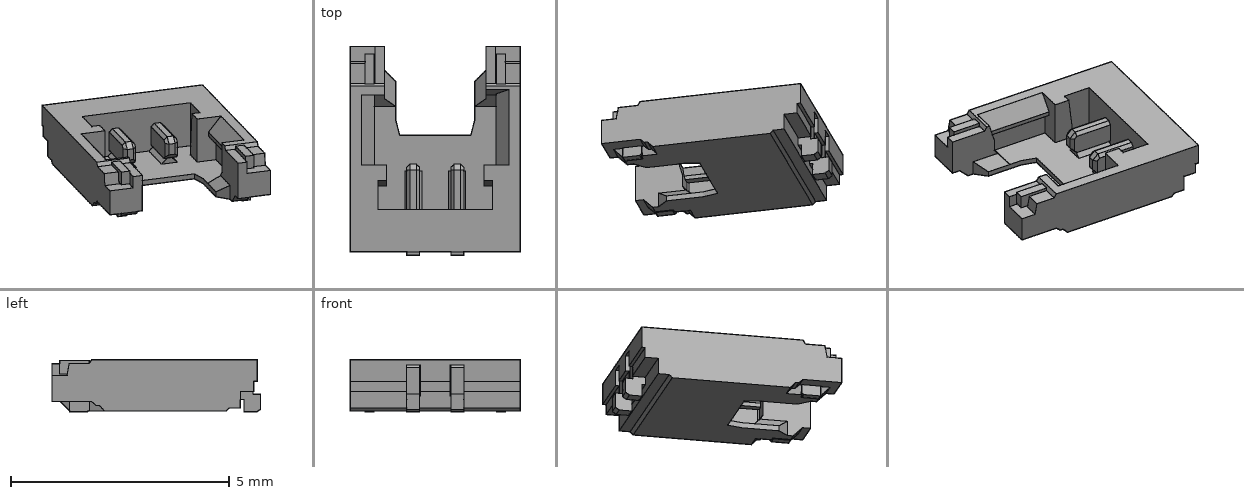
import cadquery as cq


WIDTH = 3.9
LENGTH = 4.79
BACK_Y = 4.715
TOP_Z = 1.2
BASE_Z = 0.02
HALF_WIDTH = WIDTH / 2

UPPER_STEP_Y = 0.08
UPPER_STEP_Z = 0.705
LOWER_STEP_Y = 0.39
LOWER_STEP_Z = 0.465

BASE_FRONT_Y = 0.72
BASE_BACK_Y = 3.5
TOE_RISE = 0.07
TOE_Z = BASE_Z + TOE_RISE
HEEL_FRONT_Y = 3.62
HEEL_BACK_Y = 3.7
HEEL_TOP_Y = 3.8
HEEL_Z = 0.15

SHOULDER_FRONT_Y = 3.8
SHOULDER_BACK_Y = 3.855
ARM_TOP_Z = 1.11
ARM_BOTTOM_Z = 0.24
ARM_INNER_X = 1.16
LEDGE_FRONT_Y = 4.315
LEDGE_BACK_Y = 4.365
LEDGE_Z = 0.835
INNER_STRIP_X = 1.385

FOOT_BACK_Y = 4.3
FOOT_CHAMFER = ARM_BOTTOM_Z - BASE_Z
FOOT_TOP_X = 1.58
FOOT_BASE_X = 1.535

CLIP_INNER_X = 1.405
CLIP_OUTER_X = 1.61
CLIP_FRONT_Y = 3.85
CLIP_BACK_Y = 4.53
CLIP_BOTTOM_Z = 0.87
CLIP_TOP_Z = 1.185
LEG_CHAMFER = 0.045

FLOOR_Z = 0.145
CAVITY_FRONT_Y = 0.975
CAVITY_BACK_Y = 3.592
BAY_X = 1.312
BAY_BACK_Y = 1.635
BAY_FLOOR_BACK_Y = 1.515
NECK_X = 1.12
NECK_BACK_Y = 1.997
UNDERCUT_X = 1.575
UNDERCUT_CORNER = 0.04
LIP_X = 1.395
LIP_BOTTOM_Z = 0.745
LIP_TOP_Z = 0.845
MOUTH_X = 1.695
MOUTH_BACK_Y = 3.725
RAMP_FRONT_Y = 3.335
RAMP_TOP_Z = 0.47

NOTCH_FRONT_Y = 2.68
NOTCH_FRONT_X = 0.815
NOTCH_SIDE_Y = 3.03
NOTCH_X = 0.905
CHIN_BACK_Y = 3.91
CHIN_RISE = 0.22
CHIN_WIDTH = ARM_INNER_X - NOTCH_X

PIN_X = 0.51
PIN_WIDTH = 0.3
PIN_FRONT_Y = 0.095
SOLDER_FRONT_Y = BACK_Y - LENGTH
SOLDER_BACK_Y = 0.31
SOLDER_TOP_Z = 0.405
SOLDER_CHAMFER_Y = 0.09
SOLDER_CHAMFER_Z = 0.06
BLADE_BOTTOM_Z = 0.285
BLADE_TOP_Z = 0.81
BLADE_TOP_WIDTH = 0.15
BLADE_SLOPE = 0.95
BLADE_SHOULDER_Y = 1.875
BLADE_TIP_Y = 2.01
RIDGE_X = 0.5
RIDGE_WIDTH = 0.39
RIDGE_BACK_Y = 1.855
SLOT_INNER_X = 0.335
SLOT_BACK_Y = 0.425
SLOT_BOTTOM_Z = 0.37
SLOT_TOP_Z = 1.075
PIN_TOP_CHAMFER = 0.057


def box(x0, x1, y0, y1, z0, z1):
    return cq.Workplane("XY").box(x1 - x0, y1 - y0, z1 - z0, centered=False).translate((x0, y0, z0))


def prism_x(yz_points, x0, x1):
    """Side outline (Y, Z) swept from x0 to x1."""
    return cq.Workplane("YZ").workplane(offset=x0).polyline(yz_points).close().extrude(x1 - x0)


def prism_y(xz_points, y0, y1):
    """Front outline (X, Z) swept from y0 to y1."""
    return cq.Workplane("XZ").workplane(offset=-y0).polyline(xz_points).close().extrude(y0 - y1)


def prism_z(xy_points, z0, z1):
    """Plan outline (X, Y) swept from z0 to z1."""
    return cq.Workplane("XY").workplane(offset=z0).polyline(xy_points).close().extrude(z1 - z0)


def symmetric(points):
    """Outline closed by its own mirror image across X = 0."""
    return points + [(-x, v) for x, v in reversed(points)]


def both_sides(solid):
    return solid.union(solid.mirror("YZ"))


def housing_block():
    outline = [
        (0, TOP_Z),
        (SHOULDER_FRONT_Y, TOP_Z),
        (SHOULDER_BACK_Y, ARM_TOP_Z),
        (BACK_Y, ARM_TOP_Z),
        (BACK_Y, ARM_BOTTOM_Z),
        (HEEL_TOP_Y, ARM_BOTTOM_Z),
        (HEEL_BACK_Y, HEEL_Z),
        (HEEL_FRONT_Y, HEEL_Z),
        (BASE_BACK_Y, BASE_Z),
        (BASE_FRONT_Y, BASE_Z),
        (BASE_FRONT_Y - TOE_RISE, TOE_Z),
        (LOWER_STEP_Y, TOE_Z),
        (LOWER_STEP_Y, LOWER_STEP_Z),
        (UPPER_STEP_Y, LOWER_STEP_Z),
        (UPPER_STEP_Y, UPPER_STEP_Z),
        (0, UPPER_STEP_Z),
    ]
    return prism_x(outline, -HALF_WIDTH, HALF_WIDTH)


def feet():
    """Block under the arms with slightly drafted sides and a chamfered rear."""
    side = prism_x(
        [
            (BASE_BACK_Y, BASE_Z),
            (FOOT_BACK_Y, BASE_Z),
            (FOOT_BACK_Y + FOOT_CHAMFER, ARM_BOTTOM_Z),
            (BASE_BACK_Y, ARM_BOTTOM_Z),
        ],
        -HALF_WIDTH,
        HALF_WIDTH,
    )
    front = prism_y(symmetric([(FOOT_BASE_X, BASE_Z), (FOOT_TOP_X, ARM_BOTTOM_Z)]), 0, BACK_Y)
    return side.intersect(front)


def arm_ledge():
    """Lowered outer rear corner of one arm and the narrow gap beside its clip."""
    ledge = prism_x(
        [
            (LEDGE_BACK_Y, LEDGE_Z),
            (BACK_Y, LEDGE_Z),
            (BACK_Y, TOP_Z),
            (LEDGE_FRONT_Y, TOP_Z),
            (LEDGE_FRONT_Y, ARM_TOP_Z),
        ],
        INNER_STRIP_X,
        HALF_WIDTH,
    )
    gap = box(INNER_STRIP_X, CLIP_INNER_X, SHOULDER_BACK_Y, BACK_Y, LEDGE_Z, TOP_Z)
    return ledge.union(gap)


def front_bay():
    """Bay whose rear ledges slope forward towards the floor, and the neck behind it."""
    bay = prism_x(
        [
            (CAVITY_FRONT_Y, FLOOR_Z),
            (BAY_FLOOR_BACK_Y, FLOOR_Z),
            (BAY_BACK_Y, TOP_Z),
            (CAVITY_FRONT_Y, TOP_Z),
        ],
        -BAY_X,
        BAY_X,
    )
    return bay.union(box(-NECK_X, NECK_X, CAVITY_FRONT_Y, NECK_BACK_Y, FLOOR_Z, TOP_Z))


def rear_bay():
    """Undercut chamber with a rear ramp, opening upward between two sloped lips."""
    ramp_side = prism_x(
        [
            (NECK_BACK_Y, FLOOR_Z),
            (RAMP_FRONT_Y, FLOOR_Z),
            (CAVITY_BACK_Y, RAMP_TOP_Z),
            (CAVITY_BACK_Y, LIP_BOTTOM_Z),
            (NECK_BACK_Y, LIP_BOTTOM_Z),
        ],
        -UNDERCUT_X,
        UNDERCUT_X,
    )
    plan = symmetric(
        [
            (UNDERCUT_X, NECK_BACK_Y),
            (UNDERCUT_X, CAVITY_BACK_Y - UNDERCUT_CORNER),
            (UNDERCUT_X - UNDERCUT_CORNER, CAVITY_BACK_Y),
        ]
    )
    chamber = ramp_side.intersect(prism_z(plan, FLOOR_Z, LIP_BOTTOM_Z))

    mouth_outline = symmetric([(LIP_X, LIP_BOTTOM_Z), (LIP_X, LIP_TOP_Z), (MOUTH_X, TOP_Z)])
    mouth = prism_y(mouth_outline, NECK_BACK_Y, CAVITY_BACK_Y)
    back_slope = prism_x(
        [(CAVITY_BACK_Y, LIP_BOTTOM_Z), (MOUTH_BACK_Y, TOP_Z), (CAVITY_BACK_Y, TOP_Z)], 0, MOUTH_X
    ).intersect(prism_y(mouth_outline, NECK_BACK_Y, MOUTH_BACK_Y))
    return chamber.union(mouth).union(back_slope)


def rear_opening():
    """Notch through the floor, widening to the space between the arms above sloped chins."""
    notch = prism_z(
        symmetric(
            [
                (NOTCH_FRONT_X, NOTCH_FRONT_Y),
                (NOTCH_X, NOTCH_SIDE_Y),
                (NOTCH_X, CHIN_BACK_Y),
                (ARM_INNER_X, CHIN_BACK_Y + CHIN_WIDTH),
                (ARM_INNER_X, BACK_Y),
            ]
        ),
        0,
        TOP_Z,
    )
    above_chins = prism_y(
        symmetric([(NOTCH_X, FLOOR_Z), (ARM_INNER_X, FLOOR_Z + CHIN_RISE), (ARM_INNER_X, TOP_Z)]),
        RAMP_FRONT_Y,
        BACK_Y,
    )
    return notch.union(above_chins)


def clip():
    """Retention clip of the +X arm: a rib on the ledge and a leg below the foot."""
    rib = box(CLIP_INNER_X, CLIP_OUTER_X, CLIP_FRONT_Y, CLIP_BACK_Y, CLIP_BOTTOM_Z, CLIP_TOP_Z)
    leg = prism_x(
        [
            (FOOT_BACK_Y, 0),
            (FOOT_BACK_Y, ARM_BOTTOM_Z),
            (CLIP_FRONT_Y, ARM_BOTTOM_Z),
            (CLIP_FRONT_Y, LEG_CHAMFER),
            (CLIP_FRONT_Y + LEG_CHAMFER, 0),
        ],
        CLIP_INNER_X,
        CLIP_OUTER_X,
    )
    return rib.union(leg)


def pin_slot():
    """Front slot for the +X pin, leaving a narrow gap on its inner side."""
    return box(SLOT_INNER_X, PIN_X + PIN_WIDTH / 2, 0, SLOT_BACK_Y, SLOT_BOTTOM_Z, SLOT_TOP_Z)


def blade():
    """Contact blade with bevelled top edges and a faceted tip tapering above and below."""
    half = PIN_WIDTH / 2
    top_half = BLADE_TOP_WIDTH / 2
    bevel = half - top_half
    section = symmetric(
        [
            (half, BLADE_BOTTOM_Z),
            (half, BLADE_TOP_Z - BLADE_SLOPE * bevel),
            (top_half, BLADE_TOP_Z),
        ]
    )
    plan = symmetric([(half, SLOT_BACK_Y), (half, BLADE_TIP_Y - bevel), (top_half, BLADE_TIP_Y)])
    bar = prism_y(section, SLOT_BACK_Y, BLADE_SHOULDER_Y)

    tip_length = BLADE_TIP_Y - BLADE_SHOULDER_Y
    tip_drop = BLADE_SLOPE * tip_length
    lowered = [(x, z - tip_drop if z > BLADE_BOTTOM_Z else z + tip_drop) for x, z in section]
    tip = (
        cq.Workplane("XZ", origin=(0, BLADE_SHOULDER_Y, 0))
        .polyline(section)
        .close()
        .workplane(offset=-tip_length)
        .polyline(lowered)
        .close()
        .loft(ruled=True)
    )
    tip = tip.intersect(prism_z(plan, 0, TOP_Z))
    return bar.union(tip).translate((PIN_X, 0, 0))


def blade_ridge():
    """Floor ridge with sloped sides carrying the +X blade."""
    half = RIDGE_WIDTH / 2
    top_half = half - (BLADE_BOTTOM_Z - FLOOR_Z) / BLADE_SLOPE
    outline = symmetric([(half, FLOOR_Z), (top_half, BLADE_BOTTOM_Z)])
    return prism_y(outline, CAVITY_FRONT_Y, RIDGE_BACK_Y).translate((RIDGE_X, 0, 0))


def pin_stem():
    """Upright part of the pin in its slot, with the solder foot projecting in front."""
    outline = [
        (PIN_FRONT_Y, SLOT_TOP_Z - PIN_TOP_CHAMFER),
        (PIN_FRONT_Y, SOLDER_TOP_Z),
        (SOLDER_FRONT_Y, SOLDER_TOP_Z),
        (SOLDER_FRONT_Y, SOLDER_CHAMFER_Z),
        (SOLDER_FRONT_Y + SOLDER_CHAMFER_Y, 0),
        (SOLDER_BACK_Y, 0),
        (SOLDER_BACK_Y, BLADE_BOTTOM_Z),
        (SLOT_BACK_Y, BLADE_BOTTOM_Z),
        (SLOT_BACK_Y, SLOT_TOP_Z),
        (PIN_FRONT_Y + PIN_TOP_CHAMFER, SLOT_TOP_Z),
    ]
    return prism_x(outline, PIN_X - PIN_WIDTH / 2, PIN_X + PIN_WIDTH / 2)


housing = housing_block().union(feet())
housing = housing.cut(both_sides(arm_ledge()))
housing = housing.cut(front_bay()).cut(rear_bay()).cut(rear_opening())
housing = housing.cut(both_sides(pin_slot())).union(both_sides(blade_ridge()))

metal = both_sides(clip()).union(both_sides(blade().union(pin_stem())))

result = housing.union(metal)